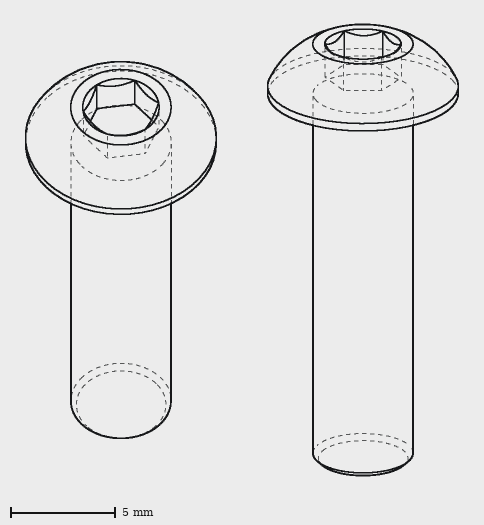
import cadquery as cq
import math

total_length = 21.62
head_diameter = 9.17
head_height = 2.57
rim_height = 0.39
crown_diameter = 4.82
dome_bulge = 0.28
shank_diameter = 4.82
tip_chamfer = 0.25
hex_across_flats = 3.18
socket_depth = 1.73
socket_countersink_angle = 45.0

head_radius = head_diameter / 2
crown_radius = crown_diameter / 2
shank_radius = shank_diameter / 2
tip_radius = shank_radius - tip_chamfer
head_base_z = total_length - head_height
rim_top_z = head_base_z + rim_height
hex_across_corners = hex_across_flats / math.cos(math.radians(30))


def screw_body():
    """Revolve the half outline of the head and shank about Z."""
    chord_x = crown_radius - head_radius
    chord_z = total_length - rim_top_z
    chord = math.hypot(chord_x, chord_z)
    dome_middle = (
        (crown_radius + head_radius) / 2 + dome_bulge * chord_z / chord,
        (total_length + rim_top_z) / 2 - dome_bulge * chord_x / chord,
    )
    return (
        cq.Workplane("XZ")
        .lineTo(tip_radius, 0)
        .lineTo(shank_radius, tip_chamfer)
        .lineTo(shank_radius, head_base_z)
        .lineTo(head_radius, head_base_z)
        .lineTo(head_radius, rim_top_z)
        .threePointArc(dome_middle, (crown_radius, total_length))
        .lineTo(0, total_length)
        .close()
        .revolve(360, (0, 0), (0, 1))
    )


def hex_socket():
    """Hexagonal recess with two corners on the Y axis."""
    return (
        cq.Workplane("XY")
        .workplane(offset=total_length - socket_depth)
        .polygon(6, hex_across_corners)
        .extrude(socket_depth)
        .rotate((0, 0, 0), (0, 0, 1), 30)
    )


def socket_countersink():
    """Conical lead-in from the circle through the corners to the middle of the flats."""
    mouth_radius = hex_across_corners / 2
    throat_radius = hex_across_flats / 2
    slope = math.tan(math.radians(socket_countersink_angle))
    throat_z = total_length - (mouth_radius - throat_radius) * slope
    return (
        cq.Workplane("XZ")
        .moveTo(0, throat_z)
        .lineTo(throat_radius, throat_z)
        .lineTo(mouth_radius, total_length)
        .lineTo(0, total_length)
        .close()
        .revolve(360, (0, 0), (0, 1))
    )


result = screw_body().cut(hex_socket()).cut(socket_countersink())